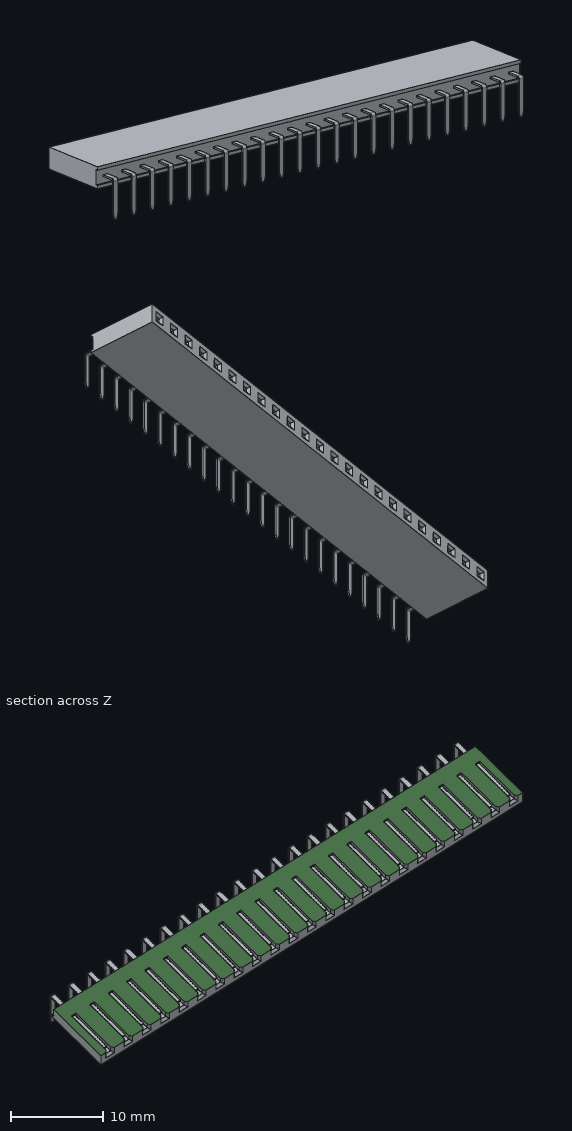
import cadquery as cq

pin_count = 23
pitch = 2.54
overall_depth = 10.13
overall_height = 5.84

body_depth = 8.5
body_height = 2.54
body_length = pin_count * pitch

recess_depth = 0.25
lip_height = 0.4

entry_width = 1.2
hole_width = 0.6
entry_depth = (entry_width - hole_width) / 2
hole_depth = 6.0
blade_width = 0.4
blade_setback = 0.5

pin_thickness = 0.2
pin_width = 0.6
bend_inner_radius = 0.1
bend_outer_radius = bend_inner_radius + pin_thickness
tip_width = 0.3
tip_length = 0.6

body_rear_x = body_depth / 2
body_front_x = -body_depth / 2
recess_x = body_rear_x - recess_depth
tail_outer_x = body_front_x + overall_depth
tail_inner_x = tail_outer_x - pin_thickness
tail_bottom_z = body_height / 2 - overall_height
pin_top_z = pin_thickness / 2
pin_positions = [(i - (pin_count - 1) / 2) * pitch for i in range(pin_count)]


def make_body():
    """Rectangular housing with a full-length channel along its rear face."""
    body = cq.Workplane("XY").box(body_depth, body_length, body_height)
    channel = cq.Workplane("XY").box(
        2 * recess_depth, body_length, body_height - 2 * lip_height
    )
    return body.cut(channel.translate((body_rear_x, 0, 0)))


def make_socket(y):
    """Tapered entry and blind square hole, less the contact blade standing inside it."""
    front = cq.Workplane("YZ", origin=(body_front_x, y, 0))
    taper = (
        front.rect(entry_width, entry_width)
        .workplane(offset=entry_depth)
        .rect(hole_width, hole_width)
        .loft(ruled=True)
    )
    hole = front.workplane(offset=entry_depth).rect(hole_width, hole_width).extrude(hole_depth)
    blade = (
        front.workplane(offset=entry_depth + blade_setback)
        .rect(blade_width, pin_thickness)
        .extrude(hole_depth - blade_setback)
    )
    return taper.union(hole).cut(blade)


def make_pin(y):
    """Flat terminal: arm out of the channel, rounded bend, pointed tail down."""
    profile = (
        cq.Workplane("XZ", origin=(0, y + pin_width / 2, 0))
        .moveTo(recess_x, -pin_top_z)
        .lineTo(recess_x, pin_top_z)
        .lineTo(tail_outer_x - bend_outer_radius, pin_top_z)
        .radiusArc((tail_outer_x, pin_top_z - bend_outer_radius), bend_outer_radius)
        .lineTo(tail_outer_x, tail_bottom_z)
        .lineTo(tail_inner_x, tail_bottom_z)
        .lineTo(tail_inner_x, -pin_top_z - bend_inner_radius)
        .radiusArc((tail_inner_x - bend_inner_radius, -pin_top_z), -bend_inner_radius)
        .close()
    )
    strip = profile.extrude(pin_width)
    outline = (
        cq.Workplane("YZ", origin=(recess_x, y, 0))
        .moveTo(-pin_width / 2, pin_top_z)
        .lineTo(-pin_width / 2, tail_bottom_z + tip_length)
        .lineTo(-tip_width / 2, tail_bottom_z)
        .lineTo(tip_width / 2, tail_bottom_z)
        .lineTo(pin_width / 2, tail_bottom_z + tip_length)
        .lineTo(pin_width / 2, pin_top_z)
        .close()
        .extrude(tail_outer_x - recess_x)
    )
    return strip.intersect(outline)


result = make_body()
for pin_y in pin_positions:
    result = result.cut(make_socket(pin_y)).union(make_pin(pin_y))